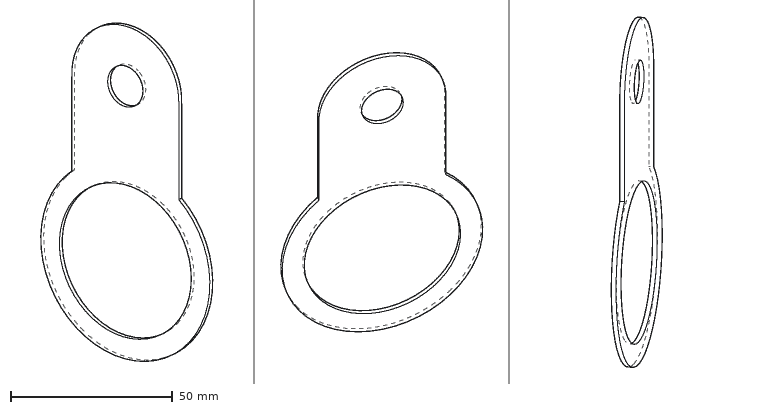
import cadquery as cq

thickness = 1.5
total_height = 110.8
ring_outer_diameter = 65.2
ring_bore_diameter = 50.8
tab_width = 41.2
tab_end_depth = 21.7
tab_hole_diameter = 13.5
tab_hole_height = 58.2

ring_radius = ring_outer_diameter / 2
tab_half_width = tab_width / 2
tab_top = total_height - ring_radius
tab_shoulder = tab_top - tab_end_depth


def plate_sketch():
    """Sketch plane at the middle of the plate thickness."""
    return cq.Workplane("XZ")


def cylinder(diameter, height_above_ring=0):
    """Disc through the plate thickness, with its axis along Y."""
    sketch = plate_sketch().center(0, height_above_ring).circle(diameter / 2)
    return sketch.extrude(thickness / 2, both=True)


def round_ended_tab():
    """Straight-sided tab from the ring centre up to a rounded end."""
    return (
        plate_sketch()
        .moveTo(-tab_half_width, 0)
        .lineTo(-tab_half_width, tab_shoulder)
        .threePointArc((0, tab_top), (tab_half_width, tab_shoulder))
        .lineTo(tab_half_width, 0)
        .close()
        .extrude(thickness / 2, both=True)
    )


blank = cylinder(ring_outer_diameter).union(round_ended_tab())
ring_bore = cylinder(ring_bore_diameter)
tab_hole = cylinder(tab_hole_diameter, tab_hole_height)
result = blank.cut(ring_bore).cut(tab_hole)